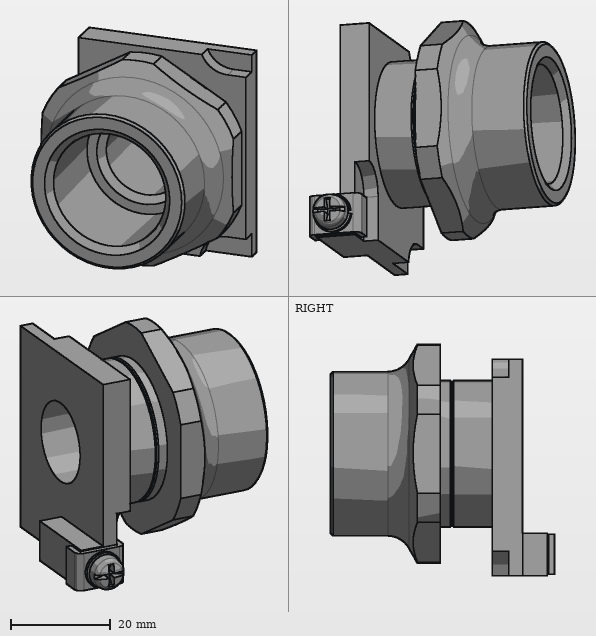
import cadquery as cq
import math


plate_left = -18.45
plate_right = 17.5
plate_top = 18.95
plate_bottom = -24.5
plate_thickness = 6.1

block_right = -0.45
block_top = -15.95
block_back = 11.05

recess_radius = 5.95
clamp_recess_depth = 2.98
clamp_recess_top = -9.5
corner_recess_depth = 3.3
corner_recess_arc_x = 13.5
top_recess_floor = 15.35
bottom_recess_ceiling = -19.55

neck_radius = 14.75
neck_end = -7.95
groove_width = 0.25
groove_radius = 12.35
neck_chamfer = 0.3
hex_flats = 41.0
hex_corner_radius = 22.0
hex_back = -10.4
hex_front = -15.0
cone_end = -16.75
cone_end_radius = 18.95
tail_radius = 16.5
flare_end = -20.95
adapter_end = -32.45
tail_chamfer = 0.5

bore_radius = 12.05
bore_chamfer = 1.4
bore_floor = -12.1
hole_radius = 8.45
hole_chamfer = 1.5

clamp_thickness = 1.2
clamp_height = 8.05
clamp_front = 1.65
clamp_back = 12.5
clamp_leg_end = -14.75
clamp_bend_radius = 1.4
clamp_outer = plate_left - clamp_thickness

screw_y = (clamp_front + clamp_back) / 2
screw_z = -20.2
shank_radius = 1.85
shank_end = -13.0
head_tip = -24.23
head_base = -21.15
head_base_radius = 3.55
head_waist = -22.75
head_waist_radius = 3.35
crown_edge = -23.75
crown_edge_radius = 2.65
crown_round_x = -23.4
crown_round_radius = 3.1
recess_start = head_tip - 0.45
slot_width = 0.9
slot_floor = -22.85
cross_width = 1.15
cross_half_length = 2.32
cross_floor = -21.75

washer_radius = 3.8
washer_thickness = 0.7
washer_pitch = 0.5
washer_split_angle = 10.0
washer_clearance = 0.05
washer_seat = 0.15


def box_between(x0, x1, y0, y1, z0, z1):
    """Box spanning the given limits."""
    return cq.Workplane("XY").box(x1 - x0, y1 - y0, z1 - z0, centered=False).translate((x0, y0, z0))


def clamp_recess():
    """Recess for the clamp's front leg; its top right corner is a quarter round."""
    right = plate_left + recess_radius
    arc_bottom = clamp_recess_top - recess_radius
    arc_step = recess_radius * math.sqrt(0.5)
    outline = (
        cq.Workplane("XZ")
        .moveTo(plate_left, plate_bottom)
        .lineTo(right, plate_bottom)
        .lineTo(right, arc_bottom)
        .threePointArc((plate_left + arc_step, arc_bottom + arc_step), (plate_left, clamp_recess_top))
        .close()
    )
    return outline.extrude(-clamp_recess_depth)


def corner_recess(edge_z, floor_z):
    """Recess in a right corner of the plate, from floor_z to the plate edge edge_z."""
    side = math.copysign(1, edge_z)
    center_z = floor_z + side * recess_radius
    low, high = sorted((edge_z, floor_z))
    flat_part = box_between(corner_recess_arc_x, plate_right, 0, corner_recess_depth, low, high)
    corner = box_between(plate_left, corner_recess_arc_x, 0, corner_recess_depth, low, high)
    bar = (
        cq.Workplane("XZ")
        .center(corner_recess_arc_x, center_z)
        .circle(recess_radius)
        .extrude(-corner_recess_depth)
    )
    return flat_part.union(corner.intersect(bar))


def make_plate():
    plate = box_between(plate_left, plate_right, 0, plate_thickness, plate_bottom, plate_top)
    block = box_between(plate_left, block_right, 0, block_back, plate_bottom, block_top)
    return (
        plate.union(block)
        .cut(clamp_recess())
        .cut(corner_recess(plate_top, top_recess_floor))
        .cut(corner_recess(plate_bottom, bottom_recess_ceiling))
    )


def make_adapter():
    """Neck, groove, hexagon, flare and tail as one turned shape, trimmed by the hexagon's flats."""
    collar_start = neck_end - groove_width
    flare_rise = cone_end_radius - tail_radius
    flare_length = cone_end - flare_end
    flare_radius = (flare_rise**2 + flare_length**2) / (2 * flare_rise)
    half_angle = math.asin(flare_length / flare_radius) / 2
    flare_middle = (
        tail_radius + flare_radius * (1 - math.cos(half_angle)),
        flare_end + flare_radius * math.sin(half_angle),
    )
    turned = (
        cq.Workplane("XY")
        .moveTo(0, 0)
        .lineTo(neck_radius, 0)
        .lineTo(neck_radius, neck_end + neck_chamfer)
        .lineTo(neck_radius - neck_chamfer, neck_end)
        .lineTo(groove_radius, neck_end)
        .lineTo(groove_radius, collar_start)
        .lineTo(neck_radius - neck_chamfer, collar_start)
        .lineTo(neck_radius, collar_start - neck_chamfer)
        .lineTo(neck_radius, hex_back)
        .lineTo(hex_corner_radius, hex_back)
        .lineTo(hex_corner_radius, hex_front)
        .lineTo(cone_end_radius, cone_end)
        .threePointArc(flare_middle, (tail_radius, flare_end))
        .lineTo(tail_radius, adapter_end + tail_chamfer)
        .lineTo(tail_radius - tail_chamfer, adapter_end)
        .lineTo(0, adapter_end)
        .close()
        .revolve(360, (0, 0), (0, 1))
    )
    hex_across_corners = hex_flats / math.cos(math.radians(30))
    hexagon = (
        cq.Workplane("XZ")
        .polygon(6, hex_across_corners)
        .extrude(-adapter_end)
        .rotate((0, 0, 0), (0, 1, 0), 30)
    )
    return turned.intersect(hexagon)


def make_bore():
    """Chamfered front bore with a flat floor and a smaller chamfered hole through the plate."""
    return (
        cq.Workplane("XY")
        .moveTo(0, adapter_end)
        .lineTo(bore_radius + bore_chamfer, adapter_end)
        .lineTo(bore_radius, adapter_end + bore_chamfer)
        .lineTo(bore_radius, bore_floor)
        .lineTo(hole_radius + hole_chamfer, bore_floor)
        .lineTo(hole_radius, bore_floor + hole_chamfer)
        .lineTo(hole_radius, block_back)
        .lineTo(0, block_back)
        .close()
        .revolve(360, (0, 0), (0, 1))
    )


def screw_shank():
    """Plain shank from inside the head to its end in the block."""
    return (
        cq.Workplane("YZ", origin=(head_base, screw_y, screw_z))
        .circle(shank_radius)
        .extrude(shank_end - head_base)
    )


def make_housing():
    return make_plate().union(make_adapter()).cut(make_bore()).cut(screw_shank())


def make_clamp():
    """U-shaped sheet clamp, open towards +X, with rounded outer bends and a screw hole."""
    low = screw_z - clamp_height / 2
    high = screw_z + clamp_height / 2
    outside = box_between(clamp_outer, clamp_leg_end, clamp_front, clamp_back, low, high)
    outside = outside.edges("|Z and <X").fillet(clamp_bend_radius)
    inside = box_between(
        plate_left, clamp_leg_end, clamp_front + clamp_thickness, clamp_back - clamp_thickness, low, high
    )
    return outside.cut(inside).cut(screw_shank())


def cross_wing(width):
    """Wing of the cross recess along Y, tapering towards its floor."""
    return (
        cq.Workplane("XY")
        .moveTo(recess_start, -cross_half_length)
        .lineTo(slot_floor, -cross_half_length)
        .lineTo(cross_floor, -cross_width / 2)
        .lineTo(cross_floor, cross_width / 2)
        .lineTo(slot_floor, cross_half_length)
        .lineTo(recess_start, cross_half_length)
        .close()
        .extrude(width / 2, both=True)
    )


def screw_head():
    """Domed pan head with a slot along Y and a tapered cross recess."""
    crown_middle_x = crown_edge + 0.75 * (head_tip - crown_edge)
    head = (
        cq.Workplane("XY")
        .moveTo(head_base, 0)
        .lineTo(head_base, head_base_radius)
        .lineTo(head_waist, head_waist_radius)
        .threePointArc((crown_round_x, crown_round_radius), (crown_edge, crown_edge_radius))
        .threePointArc((crown_middle_x, crown_edge_radius / 2), (head_tip, 0))
        .close()
        .revolve(360, (0, 0), (1, 0))
    )
    slot = box_between(
        recess_start, slot_floor, -head_base_radius, head_base_radius, -slot_width / 2, slot_width / 2
    )
    level_wing = cross_wing(slot_width)
    upright_wing = cross_wing(cross_width).rotate((0, 0, 0), (1, 0, 0), 90)
    return head.cut(slot).cut(level_wing).cut(upright_wing).translate((0, screw_y, screw_z))


def spring_washer():
    """Split helical ring seated on the shank; its split faces -Y."""
    turn = 1 - washer_split_angle / 360
    inner_radius = shank_radius - washer_seat
    middle_radius = (washer_radius + inner_radius) / 2
    path = cq.Wire.makeHelix(washer_pitch, washer_pitch * turn, middle_radius, lefthand=True)
    ring = (
        cq.Workplane("XZ")
        .center(middle_radius, 0)
        .rect(washer_radius - inner_radius, washer_thickness)
        .sweep(cq.Workplane(obj=path), isFrenet=True)
    )
    ring = ring.rotate((0, 0, 0), (0, 1, 0), 90)
    ring = ring.rotate((0, 0, 0), (1, 0, 0), -90 - washer_split_angle / 2)
    start = clamp_outer - washer_clearance - washer_thickness / 2 - washer_pitch * turn
    return ring.translate((start, screw_y, screw_z))


def make_screw():
    return screw_head().union(screw_shank()).union(spring_washer())


housing = make_housing()
clamp = make_clamp()
screw = make_screw()

result = cq.Compound.makeCompound([housing.val(), clamp.val(), screw.val()])